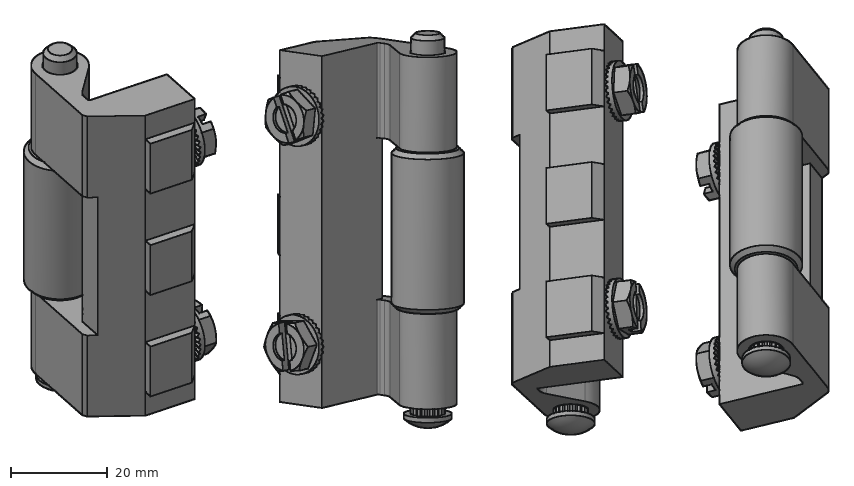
import cadquery as cq
import math


bracket_height = 74.0
lug_height = 20.0
lug_gap = bracket_height - 2 * lug_height
hub_radius = 6.0
leg_left = 14.5
leg_right = 25.5
leg_top = 17.0
leg_slope_top = 5.0
slope_angle = 60.0
slope_chamfer = 0.67
web_top = -2.0
shoulder_angle = 40.0
shoulder_round = 3.0
corner_round = 0.4
gap_face = -3.5

pad_thickness = 2.0
pad_height = 12.3
pad_pitch = 25.0
pad_count = 3

sleeve_radius = 7.5
sleeve_chamfer = 1.0
sleeve_end_play = 0.2
sleeve_height = lug_gap - 2 * sleeve_end_play

pin_radius = 3.5
pin_chamfer = 1.0
pin_overhang = 4.0
bracket_bore_radius = 3.65
knurl_radius = bracket_bore_radius
knurl_root_radius = 3.3
knurl_height = 2.0
knurl_teeth = 20
pin_head_radius = 5.0
pin_head_rim = 1.0
pin_head_dome = 2.0

screw_x = (leg_left + leg_right) / 2
screw_inset = 13.0
shank_radius = 3.0
shank_depth = 12.0
flange_gap = 0.4
flange_radius = 6.25
flange_thickness = 1.6
serration_count = 32
serration_depth = 0.6
serration_inner_radius = 4.5
hex_flats = 10.0
hex_height = 3.5
hex_chamfer_angle = 30.0
slot_width = 2.0
slot_depth = 2.0
head_recess_radius = 3.0
head_recess_depth = 0.8
screws = [(screw_inset, 83.5), (bracket_height - screw_inset, 66.5)]


def polar(radius, angle):
    """Point at a radius and an angle in degrees."""
    turn = math.radians(angle)
    return radius * math.cos(turn), radius * math.sin(turn)


def block(near_corner, far_corner, bottom, height):
    """Box between two opposite corners in plan."""
    length = far_corner[0] - near_corner[0]
    width = far_corner[1] - near_corner[1]
    return cq.Workplane("XY").box(length, width, height, centered=False).translate((*near_corner, bottom))


def upright_at(x, y):
    """Selector for the bracket's upright edge nearest to a point in plan."""
    return cq.NearestToPointSelector((x, y, bracket_height / 2))


def make_bracket():
    slope_foot = leg_right - (leg_slope_top + hub_radius) / math.tan(math.radians(slope_angle))
    tangent = polar(hub_radius, 90 - shoulder_angle)
    shoulder_foot = tangent[0] + (tangent[1] - web_top) / math.tan(math.radians(shoulder_angle))

    profile = (
        cq.Workplane("XY")
        .moveTo(0, -hub_radius)
        .lineTo(slope_foot, -hub_radius)
        .lineTo(leg_right, leg_slope_top)
        .lineTo(leg_right, leg_top)
        .lineTo(leg_left, leg_top)
        .lineTo(leg_left, web_top)
        .lineTo(shoulder_foot, web_top)
        .lineTo(*tangent)
        .threePointArc((-hub_radius, 0), (0, -hub_radius))
        .close()
    )
    body = profile.extrude(bracket_height)

    body = body.edges(upright_at(slope_foot, -hub_radius)).chamfer(slope_chamfer)
    body = body.edges(upright_at(shoulder_foot, web_top)).fillet(shoulder_round)
    body = body.edges(upright_at(leg_left, web_top)).fillet(corner_round)

    lug_space = block((-hub_radius, -hub_radius), (leg_left, leg_top), lug_height, lug_gap)
    relief = block((-hub_radius, -hub_radius), (leg_right, gap_face), lug_height, lug_gap)
    body = body.cut(lug_space).cut(relief)

    for index in range(pad_count):
        pad_middle = bracket_height / 2 + (index - (pad_count - 1) / 2) * pad_pitch
        pad = (
            cq.Workplane("XY")
            .workplane(offset=pad_middle - pad_height / 2)
            .moveTo(leg_right, leg_slope_top)
            .lineTo(leg_right + pad_thickness, leg_slope_top)
            .lineTo(leg_right + pad_thickness, leg_top - pad_thickness)
            .lineTo(leg_right, leg_top)
            .close()
            .extrude(pad_height)
        )
        body = body.union(pad)

    body = body.cut(cq.Workplane("XY").circle(bracket_bore_radius).extrude(bracket_height))
    for height, _ in screws:
        hole = cq.Workplane("XZ", origin=(screw_x, leg_top, height)).circle(shank_radius)
        body = body.cut(hole.extrude(shank_depth))
    return body


def make_sleeve():
    base = cq.Workplane("XY").workplane(offset=lug_height + sleeve_end_play)
    sleeve = base.circle(sleeve_radius).extrude(sleeve_height)
    sleeve = sleeve.faces("<Z or >Z").chamfer(sleeve_chamfer)
    return sleeve.faces(">Z").workplane().circle(pin_radius).cutThruAll()


def make_pin():
    shaft = cq.Workplane("XY").circle(pin_radius).extrude(bracket_height + pin_overhang)
    shaft = shaft.faces(">Z").chamfer(pin_chamfer)

    tooth_angle = 360 / knurl_teeth
    outline = []
    for tooth in range(knurl_teeth):
        outline.append(polar(knurl_radius, tooth * tooth_angle))
        outline.append(polar(knurl_root_radius, (tooth + 0.5) * tooth_angle))
    knurl = cq.Workplane("XY").polyline(outline).close().extrude(-knurl_height)

    head_top = -knurl_height
    rim_bottom = head_top - pin_head_rim
    dome_bottom = rim_bottom - pin_head_dome
    dome_radius = (pin_head_radius**2 + pin_head_dome**2) / (2 * pin_head_dome)
    half_radius = pin_head_radius / 2
    half_height = dome_bottom + dome_radius - math.sqrt(dome_radius**2 - half_radius**2)
    head = (
        cq.Workplane("XZ")
        .moveTo(0, head_top)
        .lineTo(pin_head_radius, head_top)
        .lineTo(pin_head_radius, rim_bottom)
        .threePointArc((half_radius, half_height), (0, dome_bottom))
        .close()
        .revolve(360, (0, 0), (0, 1))
    )
    return shaft.union(knurl).union(head)


def make_screw(height, slot_angle):
    """Screw modelled upright with the leg face at Z = 0, then laid over onto the leg."""
    flange_top = flange_gap + flange_thickness
    head_top = flange_top + hex_height
    screw = cq.Workplane("XY").workplane(offset=-shank_depth).circle(shank_radius)
    screw = screw.extrude(shank_depth + flange_gap)

    flange = cq.Workplane("XY").workplane(offset=flange_gap).circle(flange_radius).extrude(flange_thickness)
    half_pitch = math.pi * flange_radius / serration_count
    notch = (
        cq.Workplane("YZ")
        .workplane(offset=serration_inner_radius)
        .polyline([(-half_pitch, flange_gap), (0, flange_gap + serration_depth), (half_pitch, flange_gap)])
        .close()
        .extrude(flange_radius)
    )
    for index in range(serration_count):
        flange = flange.cut(notch.rotate((0, 0, 0), (0, 0, 1), index * 360 / serration_count))

    hex_corner_radius = hex_flats / 2 / math.cos(math.radians(30))
    hexagon = cq.Workplane("XY").workplane(offset=flange_top).polygon(6, 2 * hex_corner_radius)
    head = hexagon.extrude(hex_height).rotate((0, 0, 0), (0, 0, 1), 30)
    bevel_drop = (hex_corner_radius - hex_flats / 2) * math.tan(math.radians(hex_chamfer_angle))
    bevel = (
        cq.Workplane("XZ")
        .moveTo(0, flange_top)
        .lineTo(hex_corner_radius, flange_top)
        .lineTo(hex_corner_radius, head_top - bevel_drop)
        .lineTo(hex_flats / 2, head_top)
        .lineTo(0, head_top)
        .close()
        .revolve(360, (0, 0), (0, 1))
    )
    head = head.intersect(bevel)
    slot = cq.Workplane("XY").workplane(offset=head_top).rect(2 * hex_flats, slot_width).extrude(-slot_depth)
    recess = cq.Workplane("XY").workplane(offset=head_top).circle(head_recess_radius)
    head = head.cut(slot).cut(recess.extrude(-head_recess_depth))

    screw = screw.union(flange).union(head)
    screw = screw.rotate((0, 0, 0), (0, 0, 1), -slot_angle)
    screw = screw.rotate((0, 0, 0), (1, 0, 0), -90)
    return screw.translate((screw_x, leg_top, height))


bracket = make_bracket()
sleeve = make_sleeve()
pin = make_pin()
leg_screws = [make_screw(height, slot_angle) for height, slot_angle in screws]

result = cq.Compound.makeCompound(
    [bracket.val(), sleeve.val(), pin.val(), *[screw.val() for screw in leg_screws]]
)